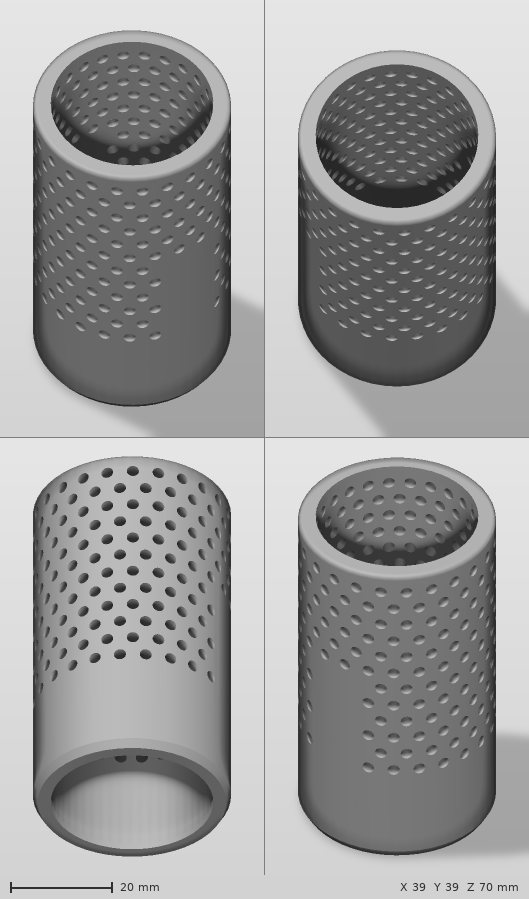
import cadquery as cq
import math

height = 70.0
outer_diameter = 39.0
bore_diameter = 32.0
outer_radius = outer_diameter / 2
bore_radius = bore_diameter / 2

top_fillet = 1.0
bottom_chamfer_width = 1.0
bottom_chamfer_angle = 30.0
bottom_chamfer_height = bottom_chamfer_width / math.tan(math.radians(bottom_chamfer_angle))

hole_diameter = 2.4
overshoot = 0.7
holes_per_row = 24
row_count = 12
top_row_z = 66.0
bottom_row_z = 22.0
row_pitch = (top_row_z - bottom_row_z) / (row_count - 1)
angle_step = 360.0 / holes_per_row

full_row_count = 6
plain_half_angle = 18.0


def make_tube():
    body = cq.Workplane("XY").circle(outer_radius).extrude(height)
    body = body.faces(">Z").edges().fillet(top_fillet)
    body = body.faces("<Z").chamfer(bottom_chamfer_height, bottom_chamfer_width)
    bore = cq.Workplane("XY").circle(bore_radius).extrude(height)
    return body.cut(bore)


def angle_from_x_axis(angle):
    """Smallest angle, in degrees, between a radial direction and the X axis line."""
    folded = angle % 180.0
    return min(folded, 180.0 - folded)


def row_angles(row):
    """Directions of the holes in one row, counted from the top."""
    start = angle_step / 2 * (row % 2)
    angles = [start + angle_step * i for i in range(holes_per_row)]
    if row < full_row_count:
        return angles
    return [a for a in angles if angle_from_x_axis(a) > plain_half_angle]


def radial_hole(angle, z):
    """Cylinder that crosses the wall only, reaching past it on both sides."""
    turn = math.radians(angle)
    direction = cq.Vector(math.cos(turn), math.sin(turn), 0)
    start = direction * (bore_radius - overshoot) + cq.Vector(0, 0, z)
    length = outer_radius - bore_radius + 2 * overshoot
    return cq.Solid.makeCylinder(hole_diameter / 2, length, start, direction)


def make_holes():
    holes = []
    for row in range(row_count):
        z = top_row_z - row * row_pitch
        holes += [radial_hole(angle, z) for angle in row_angles(row)]
    return holes


tube = make_tube().val()
result = cq.Workplane("XY").newObject([tube.cut(*make_holes())])